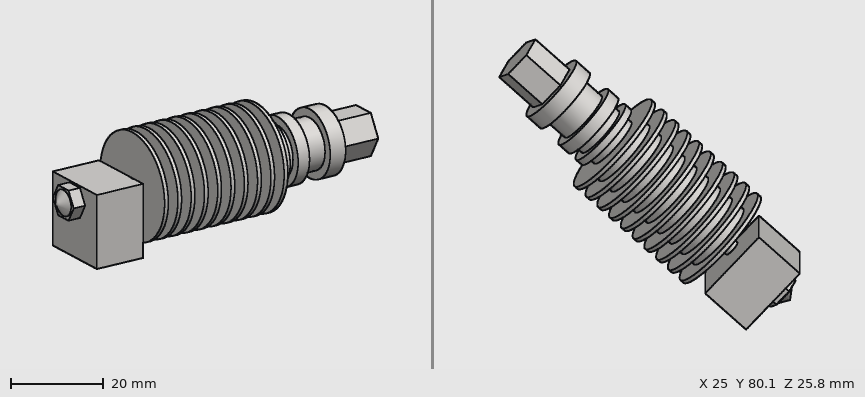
import cadquery as cq
import math

OVERALL_LENGTH = 80.1

FITTING_ACROSS_FLATS = 10.0
FITTING_LENGTH = 10.0

COLLAR_DIAMETER = 16.0
GROOVE_DIAMETER = 12.0
TOP_COLLAR_LENGTH = 4.0
MOUNT_GROOVE_LENGTH = 5.4
MIDDLE_COLLAR_LENGTH = 3.0
MIDDLE_GROOVE_LENGTH = 2.1
THIN_COLLAR_LENGTH = 1.7
LAST_GROOVE_LENGTH = 1.9

FIN_COUNT = 10
FIN_DIAMETER = 25.0
FIN_THICKNESS = 1.0
FINNED_LENGTH = 32.0
FINNED_CORE_DIAMETER = COLLAR_DIAMETER
FIN_PITCH = (FINNED_LENGTH - FIN_THICKNESS) / (FIN_COUNT - 1)

NECK_DIAMETER = 3.5
NECK_LENGTH = 3.0

BLOCK_WIDTH = 17.15
BLOCK_HEIGHT = BLOCK_WIDTH
BLOCK_LENGTH = 12.0
BLOCK_TOP_Z = 3.9

NOZZLE_ACROSS_FLATS = 7.0
NOZZLE_HEX_LENGTH = 3.0
CONE_BASE_DIAMETER = 6.0

MOUNT_START_Y = -FITTING_LENGTH
MOUNT_SECTIONS = [
    (COLLAR_DIAMETER, TOP_COLLAR_LENGTH),
    (GROOVE_DIAMETER, MOUNT_GROOVE_LENGTH),
    (COLLAR_DIAMETER, MIDDLE_COLLAR_LENGTH),
    (GROOVE_DIAMETER, MIDDLE_GROOVE_LENGTH),
    (COLLAR_DIAMETER, THIN_COLLAR_LENGTH),
    (GROOVE_DIAMETER, LAST_GROOVE_LENGTH),
]
FINS_START_Y = MOUNT_START_Y - sum(length for _, length in MOUNT_SECTIONS)
NECK_START_Y = FINS_START_Y - FINNED_LENGTH
BLOCK_START_Y = NECK_START_Y - NECK_LENGTH
NOZZLE_START_Y = BLOCK_START_Y - BLOCK_LENGTH
CONE_START_Y = NOZZLE_START_Y - NOZZLE_HEX_LENGTH
TIP_Y = -OVERALL_LENGTH


def section_plane(start_y):
    """Plane across the axis whose normal points to -Y and whose local X is +X."""
    return cq.Workplane("XZ", origin=(0, start_y, 0))


def disc(diameter, start_y, length):
    """Cylinder on the axis, running from start_y towards -Y."""
    return section_plane(start_y).circle(diameter / 2).extrude(length)


def hexagon(across_flats, start_y, length):
    """Hexagonal prism on the axis, with two corners on X and flats facing +Z and -Z."""
    across_corners = across_flats / math.cos(math.pi / 6)
    return section_plane(start_y).polygon(6, across_corners).extrude(length)


def make_heat_sink():
    """Hexagonal fitting, grooved mount, finned core and heat break neck."""
    sink = hexagon(FITTING_ACROSS_FLATS, 0, FITTING_LENGTH)

    section_start_y = MOUNT_START_Y
    for diameter, length in MOUNT_SECTIONS:
        sink = sink.union(disc(diameter, section_start_y, length))
        section_start_y -= length

    sink = sink.union(disc(FINNED_CORE_DIAMETER, FINS_START_Y, FINNED_LENGTH))
    for index in range(FIN_COUNT):
        fin_start_y = FINS_START_Y - index * FIN_PITCH
        sink = sink.union(disc(FIN_DIAMETER, fin_start_y, FIN_THICKNESS))

    return sink.union(disc(NECK_DIAMETER, NECK_START_Y, NECK_LENGTH))


def make_nozzle_cone():
    """Pointed cone with its tip on the axis at the -Y end."""
    return (
        cq.Workplane("XY")
        .moveTo(0, CONE_START_Y)
        .lineTo(CONE_BASE_DIAMETER / 2, CONE_START_Y)
        .lineTo(0, TIP_Y)
        .close()
        .revolve(360, (0, 0, 0), (0, 1, 0))
    )


def make_heater_block():
    """Heater block with the nozzle on its -Y face; its +Y face meets the neck."""
    block = (
        section_plane(BLOCK_START_Y)
        .center(0, BLOCK_TOP_Z - BLOCK_HEIGHT / 2)
        .rect(BLOCK_WIDTH, BLOCK_HEIGHT)
        .extrude(BLOCK_LENGTH)
    )
    nozzle_hex = hexagon(NOZZLE_ACROSS_FLATS, NOZZLE_START_Y, NOZZLE_HEX_LENGTH)
    return block.union(nozzle_hex).union(make_nozzle_cone())


heat_sink = make_heat_sink().solids()
heater_block = make_heater_block().solids()

result = cq.Compound.makeCompound([heat_sink.val(), heater_block.val()])